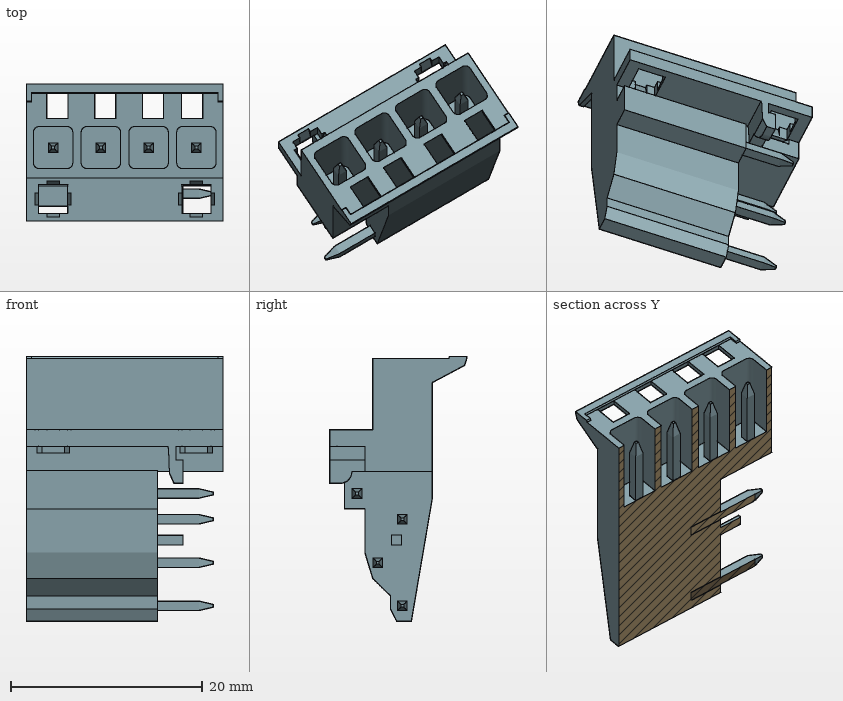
import cadquery as cq


width = 20.6
tail_width = 13.75
pitch = 5.0
pole_count = 4
first_pole_x = (width - (pole_count - 1) * pitch) / 2
pole_xs = [first_pole_x + i * pitch for i in range(pole_count)]

total_height = 27.75
total_depth = 14.38
lip_height = 0.2
top_z = total_height - lip_height
upper_front_y = 4.51
wall_y = 3.69
rear_y = 10.76
ledge_top_z = 20.08
ledge_bottom_z = 18.34
right_underside_z = 15.68
block_y = 1.54
block_top_z = 15.78
block_bottom_z = 11.8
taper_top_z = 7.2
shoulder_z = 4.5
tail_front_y = 6.37
tail_step_z = 2.68
tail_chamfer_z = 1.3
tail_bottom_front_y = 7.03
tail_bottom_rear_y = 8.57
rear_taper_z = 12.85
flange_root_z = 25.0
flange_nose_y = 14.14
flange_nose_z = 26.8
flange_thickness = 0.5
gusset_width = 0.52

lip_arm_front_y = 12.51
lip_front_y = 13.43
lip_arm_width = gusset_width
lip_draft = 0.1

window_width = 2.18
window_offset = 0.45
window_rear_y = 13.37

socket_width = 4.12
socket_depth_y = 4.4
socket_y = 7.7
socket_radius = 0.6
socket_floor_z = 19.0

pin_size = 1.0
pin_tip_size = 0.3
pin_taper = 1.5
contact_tip_z = 26.5
contact_bottom_z = 16.0

side_pin_tip_x = 19.58
side_pin_start_x = 9.75
side_pin_yz = [(2.87, 13.4), (7.62, 10.7), (5.05, 6.15), (7.62, 1.64)]

peg_end_x = 16.41
peg_y = 7.0
peg_z = 8.52
peg_size = 1.05

pocket_xs = [pole_xs[0], pole_xs[-1]]
pocket_y = 2.31
pocket_size = 3.02
slot_width = 1.29
slot_depth = 0.38
slot_end_z = 18.7
undercut_width = 3.38
undercut_depth = 0.51
undercut_bottom_z = 17.62

hook_left_x = 14.88
hook_stem_right_x = 15.67
hook_right_x = 16.41
hook_root_flare = 0.08
hook_flare_z = 18.1
hook_draft = 0.1
hook_barb_z = 16.9
hook_bevel_z = 15.5
hook_bevel_x = 15.45
hook_bottom_z = 14.45
hook_round_y = 1.1


def box(x0, x1, y0, y1, z0, z1):
    """Box between two opposite corners."""
    return cq.Workplane("XY").box(x1 - x0, y1 - y0, z1 - z0, centered=False).translate((x0, y0, z0))


def upper_housing():
    """Ledge, socket block and rear flange over the full width."""
    outline = [
        (wall_y, right_underside_z),
        (wall_y, ledge_bottom_z),
        (0, ledge_bottom_z),
        (0, ledge_top_z),
        (upper_front_y, ledge_top_z),
        (upper_front_y, top_z),
        (total_depth, top_z),
        (flange_nose_y, flange_nose_z),
        (rear_y, flange_root_z),
        (rear_y, right_underside_z),
    ]
    return cq.Workplane("YZ").polyline(outline).close().extrude(width)


def tail():
    """Narrower lower housing with the front block and tapered end."""
    outline = [
        (wall_y, ledge_bottom_z),
        (wall_y, block_top_z),
        (block_y, block_top_z),
        (block_y, block_bottom_z),
        (wall_y, block_bottom_z),
        (wall_y, taper_top_z),
        (upper_front_y, shoulder_z),
        (tail_front_y, tail_step_z),
        (tail_front_y, tail_chamfer_z),
        (tail_bottom_front_y, 0),
        (tail_bottom_rear_y, 0),
        (rear_y, rear_taper_z),
        (rear_y, ledge_bottom_z),
    ]
    return cq.Workplane("YZ").polyline(outline).close().extrude(tail_width)


def lip_bar(front_y, bar_width):
    """Length of raised lip with a drafted front face."""
    outline = [
        (front_y - lip_draft / 2, top_z),
        (front_y + lip_draft / 2, total_height),
        (total_depth, total_height),
        (total_depth, top_z),
    ]
    return cq.Workplane("YZ").polyline(outline).close().extrude(bar_width)


def lip():
    """Rear lip with a short forward arm at each end."""
    arm = lip_bar(lip_arm_front_y, lip_arm_width)
    return lip_bar(lip_front_y, width).union(arm).union(arm.translate((width - lip_arm_width, 0, 0)))


def windows():
    """Openings through the flange; the last one is offset the other way."""
    cuts = cq.Workplane("XY")
    for x in pole_xs:
        side = -1 if x == pole_xs[-1] else 1
        left = x + side * window_offset - window_width / 2
        cuts = cuts.add(box(left, left + window_width, rear_y, window_rear_y, flange_root_z, total_height))
    return cuts.combine()


def flange_hollow():
    """Space under the flange plate, between the two end gussets."""
    plate_bottom_z = top_z - flange_thickness
    return box(gusset_width, width - gusset_width, rear_y, total_depth, flange_root_z, plate_bottom_z)


def sockets():
    """Round-cornered sockets open at the top."""
    return (
        cq.Workplane("XY", origin=(0, socket_y, socket_floor_z))
        .pushPoints([(x, 0) for x in pole_xs])
        .rect(socket_width, socket_depth_y)
        .extrude(total_height - socket_floor_z)
        .edges("|Z")
        .fillet(socket_radius)
    )


def pocket(x):
    """Square latch pocket with four sloping slots and an undercut in the front wall."""
    half = pocket_size / 2
    cut = box(x - half, x + half, pocket_y - half, pocket_y + half, undercut_bottom_z, ledge_top_z)
    slot = (
        cq.Workplane("YZ", origin=(-slot_width / 2, 0, 0))
        .polyline([(0, slot_end_z), (half, slot_end_z), (half + slot_depth, ledge_top_z), (0, ledge_top_z)])
        .close()
        .extrude(slot_width)
    )
    for quarter in range(4):
        cut = cut.union(slot.rotate((0, 0, 0), (0, 0, 1), 90 * quarter).translate((x, pocket_y, 0)))
    half_mouth = undercut_width / 2
    half_back = half_mouth - undercut_depth
    undercut = (
        cq.Workplane("XY", origin=(x, wall_y, undercut_bottom_z))
        .polyline([
            (-half_mouth, 0),
            (half_mouth, 0),
            (half_back, undercut_depth),
            (-half_back, undercut_depth),
        ])
        .close()
        .extrude(ledge_bottom_z - undercut_bottom_z)
    )
    return cut.union(undercut)


def hook():
    """Barbed hook under the ledge, its bottom curving up into the front wall."""
    barb = (
        cq.Workplane("XZ")
        .polyline([
            (hook_left_x - hook_root_flare, ledge_bottom_z),
            (hook_stem_right_x, ledge_bottom_z),
            (hook_stem_right_x, hook_barb_z),
            (hook_right_x, hook_barb_z),
            (hook_right_x, hook_bottom_z),
            (hook_bevel_x, hook_bottom_z),
            (hook_left_x + hook_draft, hook_bevel_z),
            (hook_left_x, hook_flare_z),
        ])
        .close()
        .extrude(-wall_y)
    )
    round_radius = right_underside_z - hook_bottom_z
    side_shape = (
        cq.Workplane("YZ")
        .moveTo(0, ledge_bottom_z)
        .lineTo(0, hook_bottom_z)
        .lineTo(hook_round_y, hook_bottom_z)
        .radiusArc((hook_round_y + round_radius, right_underside_z), -round_radius)
        .lineTo(wall_y, right_underside_z)
        .lineTo(wall_y, ledge_bottom_z)
        .close()
        .extrude(width)
    )
    return barb.intersect(side_shape)


def peg():
    """Square locating peg on the right face of the tail."""
    half = peg_size / 2
    return box(tail_width, peg_end_x, peg_y - half, peg_y + half, peg_z - half, peg_z + half)


def square_pin(length):
    """Square pin along +Z from the origin, ending in a pyramid tip."""
    shank = length - pin_taper
    tip = (
        cq.Workplane("XY", origin=(0, 0, shank))
        .rect(pin_size, pin_size)
        .workplane(offset=pin_taper)
        .rect(pin_tip_size, pin_tip_size)
        .loft(ruled=True)
    )
    return cq.Workplane("XY").rect(pin_size, pin_size).extrude(shank).union(tip)


upright = square_pin(contact_tip_z - contact_bottom_z)
contact_pins = [upright.translate((x, socket_y, contact_bottom_z)) for x in pole_xs]

lying = square_pin(side_pin_tip_x - side_pin_start_x).rotate((0, 0, 0), (0, 1, 0), 90)
side_pins = [lying.translate((side_pin_start_x, y, z)) for y, z in side_pin_yz]

housing = upper_housing().union(tail()).union(lip()).union(hook()).union(peg())
housing = housing.cut(flange_hollow()).cut(windows()).cut(sockets())
for pocket_x in pocket_xs:
    housing = housing.cut(pocket(pocket_x))
for pin in contact_pins + side_pins:
    housing = housing.cut(pin)

result = cq.Compound.makeCompound([
    housing.val(),
    *[pin.val() for pin in contact_pins],
    *[pin.val() for pin in side_pins],
])